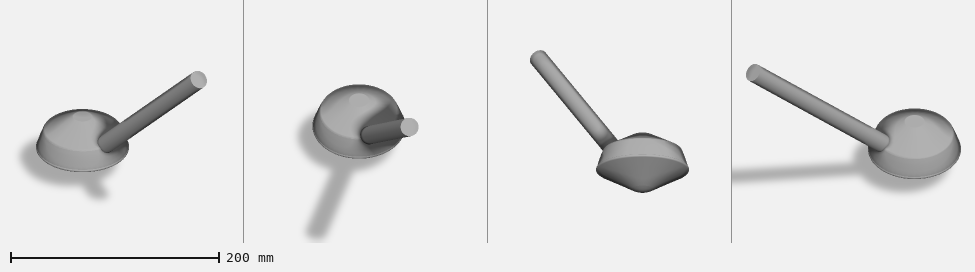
import cadquery as cq
import math

rim_radius = 44.7
rim_low_radius = 43.8
rim_low_z = 21.0
rim_crest_z = 22.4
rim_high_radius = 44.0
rim_high_z = 23.7
wall_top_radius = 38.0
wall_top_z = 41.0
wall_bulge = 0.34
shoulder_radius = 36.7
shoulder_z = 42.5
cap_edge_radius = 9.8
cap_edge_z = 56.5
cap_diameter = 17.7
cap_z = 56.8

nose_radius = 22.1
nose_angle = math.radians(29)
nose_edge_radius = nose_radius * math.sin(nose_angle)
nose_edge_z = nose_radius * (1 - math.cos(nose_angle))

handle_diameter = 17.7
handle_angle = 45.0
handle_axis_z = 7.4
handle_start = 41.1
handle_tip_x = 172.5
handle_end = handle_tip_x / math.sin(math.radians(handle_angle))


def middle_of_arc(start, end, bulge):
    """Point halfway along an arc that bows to the right of start -> end."""
    run = end[0] - start[0]
    rise = end[1] - start[1]
    chord = math.hypot(run, rise)
    return (
        (start[0] + end[0]) / 2 + bulge * rise / chord,
        (start[1] + end[1]) / 2 - bulge * run / chord,
    )


def make_handle():
    tilt = math.radians(handle_angle)
    axis = cq.Vector(math.sin(tilt), 0, math.cos(tilt))
    start = cq.Vector(0, 0, handle_axis_z) + axis * handle_start
    plane = cq.Plane(origin=start, xDir=(0, 1, 0), normal=axis)
    return cq.Workplane(plane).circle(handle_diameter / 2).extrude(handle_end - handle_start)


def make_head(handle):
    nose_middle = (
        nose_radius * math.sin(nose_angle / 2),
        nose_radius * (1 - math.cos(nose_angle / 2)),
    )
    wall_bottom = (rim_high_radius, rim_high_z)
    wall_top = (wall_top_radius, wall_top_z)
    solid = (
        cq.Workplane("XZ")
        .moveTo(0, 0)
        .threePointArc(nose_middle, (nose_edge_radius, nose_edge_z))
        .lineTo(rim_low_radius, rim_low_z)
        .threePointArc((rim_radius, rim_crest_z), wall_bottom)
        .threePointArc(middle_of_arc(wall_bottom, wall_top, wall_bulge), wall_top)
        .tangentArcPoint((shoulder_radius, shoulder_z), relative=False)
        .lineTo(cap_edge_radius, cap_edge_z)
        .tangentArcPoint((cap_diameter / 2, cap_z), relative=False)
        .lineTo(0, cap_z)
        .close()
        .revolve(360, (0, 0, 0), (0, 1, 0))
    )
    return solid.cut(handle)


handle = make_handle()
head = make_head(handle)

result = cq.Compound.makeCompound([head.solids().val(), handle.val()])